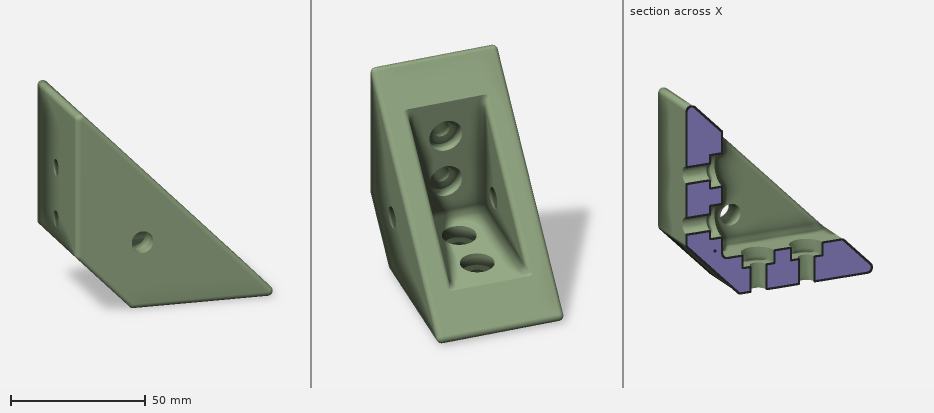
import cadquery as cq
import math

width = 50.0
leg = 80.0
outer_fillet = 2.0

corner_flat_leg = 22.0
corner_flat_fillet = 1.5

wall_thickness = 15.0
pocket_width = 30.0
pocket_fillet = 2.0

mount_positions = (30.0, 50.0)
mount_hole_diameter = 6.4
counterbore_diameter = 13.0
counterbore_depth = 5.0

cross_hole_diameter = 8.4
cross_hole_to_slope = 20.0
cross_hole_offset = leg / 2 - cross_hole_to_slope * math.sqrt(0.5)

clearance = 1.0

selection_margin = 0.01


def prism(points, length):
    """Extrude a YZ outline symmetrically about X = 0."""
    return cq.Workplane("YZ").polyline(points).close().extrude(length / 2, both=True)


def outer_body():
    """Wedge with all edges rounded and its right-angled corner cut flat."""
    wedge = prism([(0, 0), (leg, 0), (0, leg)], width)
    wedge = wedge.edges().fillet(outer_fillet)
    corner = prism([(0, 0), (corner_flat_leg, 0), (0, corner_flat_leg)], width + 2 * clearance)
    flat_direction = cq.selectors.DirectionMinMaxSelector(cq.Vector(0, 1, 1), directionMax=False)
    return wedge.cut(corner).faces(flat_direction).edges().fillet(corner_flat_fillet)


def pocket_cutter():
    """Triangular pocket cutter with flared side rims and rounded inner corners."""
    half_width = pocket_width / 2
    flare_end = half_width + pocket_fillet
    wing_end = flare_end + clearance
    arc_middle = pocket_fillet * math.sqrt(0.5)
    section_plane = cq.Plane(origin=(0, leg / 2, leg / 2), xDir=(1, 0, 0), normal=(0, -1, 1))
    section = (
        cq.Workplane(section_plane)
        .moveTo(half_width, -leg)
        .lineTo(half_width, -pocket_fillet)
        .threePointArc((flare_end - arc_middle, arc_middle - pocket_fillet), (flare_end, 0))
        .lineTo(wing_end, 0)
        .lineTo(wing_end, clearance)
        .lineTo(-wing_end, clearance)
        .lineTo(-wing_end, 0)
        .lineTo(-flare_end, 0)
        .threePointArc((arc_middle - flare_end, arc_middle - pocket_fillet), (-half_width, -pocket_fillet))
        .lineTo(-half_width, -leg)
        .close()
        .extrude(leg, both=True)
    )
    quadrant = cq.Workplane("XY").box(width, 2 * leg, 2 * leg, centered=(True, False, False))
    cutter = section.intersect(quadrant.translate((0, wall_thickness, wall_thickness)))

    low = wall_thickness - selection_margin
    high = leg - wall_thickness + selection_margin
    within_body = cq.selectors.BoxSelector((-width, low, low), (width, high, high), boundingbox=True)
    return cutter.faces("<Y or <Z").edges(within_body).fillet(pocket_fillet)


def mount_cutter(position):
    """Vertical counterbored hole cutter through the floor at the given Y position."""
    hole = cq.Workplane("XY").center(0, position).circle(mount_hole_diameter / 2).extrude(leg)
    counterbore = (
        cq.Workplane("XY", origin=(0, position, wall_thickness - counterbore_depth))
        .circle(counterbore_diameter / 2)
        .extrude(counterbore_depth)
    )
    return hole.union(counterbore)


def cut_holes(body):
    """Cut the mounting holes in both walls and the cross hole along X."""
    for position in mount_positions:
        floor_cutter = mount_cutter(position)
        wall_cutter = floor_cutter.rotate((0, 0, 0), (0, 1, 1), 180)
        body = body.cut(floor_cutter).cut(wall_cutter)
    cross_hole = (
        cq.Workplane("YZ")
        .center(cross_hole_offset, cross_hole_offset)
        .circle(cross_hole_diameter / 2)
        .extrude(width, both=True)
    )
    return body.cut(cross_hole)


result = cut_holes(outer_body().cut(pocket_cutter()))